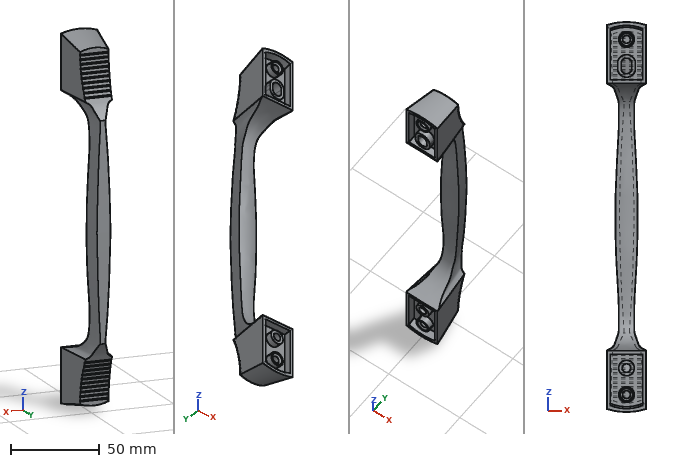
import cadquery as cq
import math

LENGTH = 220.0
HALF_LENGTH = LENGTH / 2

FOOT_HALF_WIDTH = 11.0
FOOT_INNER_Z = 75.2
FOOT_END_CROWN = 1.8
FOOT_END_SLOPE = 0.23
FOOT_SIDE_SLOPE = 0.1
FOOT_BLANK_HEIGHT = 33.0

FRONT_END = (22.9, 104.7)
FRONT_MIDDLE = (26.2, 83.5)
FRONT_GRIP = (35.6, 65.3)

WALL = 2.0
POCKET_DEPTH = 4.8
POST_RECESS = 0.7

POST_RADIUS = 4.5
INSERT_Z = 100.0
SCREW_POST_Z = 85.1
SCREW_HOLE_RADIUS = 2.5
SLOT_POST_RADIUS = 5.0
SLOT_HOLE_RADIUS = 3.0
SLOT_TRAVEL = 2.6
HOLE_FLOOR_THICKNESS = 3.5

INSERT_RADIUS = 4.0
INSERT_LENGTH = 13.2
INSERT_END_Y = POST_RECESS + INSERT_LENGTH
INSERT_BORE_RADIUS = 2.2
INSERT_MOUTH_RADIUS = 3.5
INSERT_MOUTH_DEPTH = 1.0

GROOVE_COUNT = 10
GROOVE_PITCH = 2.6
GROOVE_FIRST_Z = 77.5
GROOVE_RADIUS = 0.5

FLAT_CROWN = 0.1

GRIP_SECTIONS = [
    (0.0, 26.6, 37.0, 6.4, 4.2, 1.43),
    (26.5, 26.5, 36.7, 5.7, 3.5, 1.2),
    (54.5, 26.2, 36.0, 4.5, 2.2, FLAT_CROWN),
    (60.5, 25.0, 35.9, 4.5, 1.8, FLAT_CROWN),
    (FRONT_GRIP[1], 22.7, 35.6, 4.6, 1.8, FLAT_CROWN),
    (68.6, 19.4, 35.5, 5.7, 2.9, FLAT_CROWN),
    (72.5, 11.0, 35.2, 7.3, 4.5, FLAT_CROWN),
    (74.4, 4.5, 35.2, 9.5, 6.0, FLAT_CROWN),
    (FOOT_INNER_Z, FLAT_CROWN, 35.2, FOOT_HALF_WIDTH, 7.5, FLAT_CROWN),
]


def circle_through(p, q, r):
    """Centre and radius of the circle through three points."""
    d = 2 * (p[0] * (q[1] - r[1]) + q[0] * (r[1] - p[1]) + r[0] * (p[1] - q[1]))
    p2, q2, r2 = (a[0] ** 2 + a[1] ** 2 for a in (p, q, r))
    cy = (p2 * (q[1] - r[1]) + q2 * (r[1] - p[1]) + r2 * (p[1] - q[1])) / d
    cz = (p2 * (r[0] - q[0]) + q2 * (p[0] - r[0]) + r2 * (q[0] - p[0])) / d
    return (cy, cz), math.dist(p, (cy, cz))


FRONT_CENTRE, FRONT_RADIUS = circle_through(FRONT_END, FRONT_MIDDLE, FRONT_GRIP)


def foot_blank(inset, start_y, end_y, side_slope):
    """Tapered block with a rounded end; an inset gives the matching pocket."""
    blank = cq.Workplane("XZ", origin=(0, start_y, 0))
    for y in (start_y, end_y):
        half_width = FOOT_HALF_WIDTH - inset - side_slope * y
        crown_z = HALF_LENGTH - inset - FOOT_END_SLOPE * y
        corner_z = crown_z - FOOT_END_CROWN
        inner_z = FOOT_INNER_Z + inset
        blank = (
            blank.moveTo(-half_width, inner_z)
            .lineTo(half_width, inner_z)
            .lineTo(half_width, corner_z)
            .threePointArc((0, crown_z), (-half_width, corner_z))
            .close()
        )
        if y == start_y:
            blank = blank.workplane(offset=start_y - end_y)
    return blank.loft(ruled=True)


def front_cutter(extra_radius=0):
    """Cylinder that hollows the front of the upper foot."""
    return (
        cq.Workplane("YZ", origin=(-2 * FOOT_HALF_WIDTH, 0, 0))
        .center(*FRONT_CENTRE)
        .circle(FRONT_RADIUS + extra_radius)
        .extrude(4 * FOOT_HALF_WIDTH)
    )


def grooves():
    """Round rods that cut the transverse grooves."""
    places = []
    for i in range(GROOVE_COUNT):
        z = GROOVE_FIRST_Z + i * GROOVE_PITCH
        y = FRONT_CENTRE[0] - math.sqrt(FRONT_RADIUS ** 2 - (z - FRONT_CENTRE[1]) ** 2)
        places.append((y, z))
    return (
        cq.Workplane("YZ", origin=(-FOOT_HALF_WIDTH, 0, 0))
        .pushPoints(places)
        .circle(GROOVE_RADIUS)
        .extrude(2 * FOOT_HALF_WIDTH)
    )


def post(radius, z, travel, start_y, end_y):
    """Column along Y: round, or oblong along Z when it has a travel."""
    column = cq.Workplane("XZ", origin=(0, start_y, z))
    if travel:
        column = column.slot2D(travel + 2 * radius, 2 * radius, 90)
    else:
        column = column.circle(radius)
    return column.extrude(start_y - end_y)


def hole_tool(radius, z, travel):
    """Hole from the mounting plane to a floor that follows the concave front."""
    tool = post(radius, z, travel, 0, FOOT_BLANK_HEIGHT)
    return tool.cut(front_cutter(HOLE_FLOOR_THICKNESS))


def foot(screw_post_radius, screw_hole_radius, travel):
    """Upper foot with its pocket, its screw post and its insert post."""
    body = foot_blank(0, 0, FOOT_BLANK_HEIGHT, FOOT_SIDE_SLOPE).cut(front_cutter()).cut(grooves())
    body = body.cut(foot_blank(WALL, 0, POCKET_DEPTH, 0))
    root_y = POCKET_DEPTH + WALL
    body = body.union(post(screw_post_radius, SCREW_POST_Z, travel, POST_RECESS, root_y))
    body = body.union(post(POST_RADIUS, INSERT_Z, 0, POST_RECESS, root_y))
    body = body.cut(hole_tool(screw_hole_radius, SCREW_POST_Z, travel))
    return body.cut(post(INSERT_RADIUS, INSERT_Z, 0, 0, INSERT_END_Y))


def grip_section(z, back_y, front_y, back_half_width, front_half_width, crown):
    """Cross-section of the grip: a trapezoid with a slightly bulged back."""
    return (
        cq.Workplane("XY", origin=(0, 0, z))
        .moveTo(back_half_width, back_y)
        .lineTo(front_half_width, front_y)
        .lineTo(-front_half_width, front_y)
        .lineTo(-back_half_width, back_y)
        .threePointArc((0, back_y - crown), (back_half_width, back_y))
        .close()
        .val()
    )


def lower(body):
    """The same body at the lower end of the handle."""
    return body.mirror("XY")


def grip():
    """Bowed bar that flares out to the feet and is hollowed at both ends."""
    lower_half = [grip_section(-z, *sizes) for z, *sizes in reversed(GRIP_SECTIONS[1:])]
    upper_half = [grip_section(z, *sizes) for z, *sizes in GRIP_SECTIONS]
    bar = cq.Workplane(cq.Solid.makeLoft(lower_half + upper_half))
    return bar.cut(front_cutter()).cut(lower(front_cutter()))


def make_handle():
    upper_foot = foot(SLOT_POST_RADIUS, SLOT_HOLE_RADIUS, SLOT_TRAVEL)
    lower_foot = lower(foot(POST_RADIUS, SCREW_HOLE_RADIUS, 0))
    return grip().union(upper_foot).union(lower_foot)


def make_insert(z):
    """Bushing with a countersunk through bore."""
    body = post(INSERT_RADIUS, z, 0, POST_RECESS, INSERT_END_Y)
    body = body.cut(post(INSERT_BORE_RADIUS, z, 0, POST_RECESS, INSERT_END_Y))
    mouth = cq.Solid.makeCone(
        INSERT_MOUTH_RADIUS, INSERT_BORE_RADIUS, INSERT_MOUTH_DEPTH,
        pnt=cq.Vector(0, POST_RECESS, z), dir=cq.Vector(0, 1, 0),
    )
    return body.cut(cq.Workplane(mouth))


handle = make_handle()
inserts = [make_insert(side * INSERT_Z) for side in (1, -1)]
result = cq.Compound.makeCompound([handle.val(), *(insert.val() for insert in inserts)])